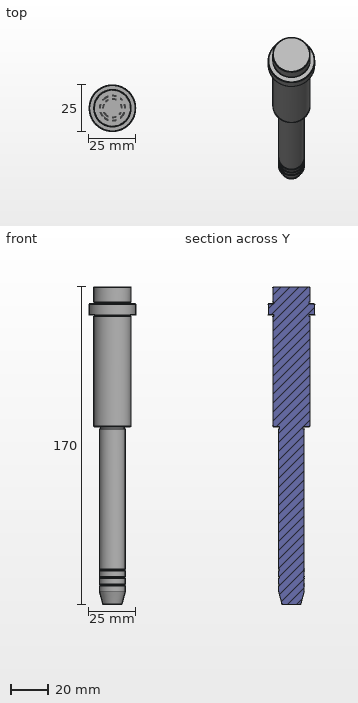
import cadquery as cq
import math

total_length = 170.0
collar_diameter = 25.0
body_diameter = 20.0
shank_diameter = 14.0

collar_top = total_length - 9.0
collar_height = 6.0
body_bottom = 95.0
taper_length = 7.0
taper_angle = 15.0

relief_width = 1.0
relief_depth = 0.5
collar_run_out = relief_depth
edge_chamfer = 0.5
collar_chamfer = 0.3
top_chamfer = 0.3
tip_chamfer = 0.3

ring_groove_count = 3
lowest_ring_groove = 10.4
ring_groove_pitch = 4.0
ring_groove_width = 1.0
ring_groove_depth = 0.3

collar_bottom = collar_top - collar_height
tip_diameter = shank_diameter - 2 * taper_length * math.tan(math.radians(taper_angle))


def cylinder(diameter, bottom, top):
    return cq.Workplane("XY").workplane(offset=bottom).circle(diameter / 2).extrude(top - bottom)


def groove_cutter(diameter, depth, bottom, width):
    """Ring that cuts a V groove into a shaft of the given diameter."""
    radius = diameter / 2
    return (
        cq.Workplane("XZ")
        .moveTo(radius, bottom)
        .lineTo(radius - depth, bottom + width / 2)
        .lineTo(radius, bottom + width)
        .lineTo(radius + depth, bottom + width)
        .lineTo(radius + depth, bottom)
        .close()
        .revolve(360, (0, 0, 0), (0, 1, 0))
    )


def relief_cutter(diameter, shoulder, direction, run_out):
    """Ring that necks a shaft beside a shoulder, ending in a conical run-out (length 0 for a square end)."""
    radius = diameter / 2
    neck_radius = radius - relief_depth
    neck_end = shoulder + direction * (relief_width - run_out)
    relief_end = shoulder + direction * relief_width
    return (
        cq.Workplane("XZ")
        .moveTo(radius, shoulder)
        .lineTo(neck_radius, shoulder)
        .lineTo(neck_radius, neck_end)
        .lineTo(radius, relief_end)
        .close()
        .revolve(360, (0, 0, 0), (0, 1, 0))
    )


tip = (
    cq.Workplane("XY")
    .circle(tip_diameter / 2)
    .workplane(offset=taper_length)
    .circle(shank_diameter / 2)
    .loft()
    .faces("<Z")
    .chamfer(tip_chamfer)
)
shank = tip.union(cylinder(shank_diameter, taper_length, body_bottom))

shank = shank.cut(relief_cutter(shank_diameter, body_bottom, -1, 0))
for index in range(ring_groove_count):
    groove_bottom = lowest_ring_groove + index * ring_groove_pitch - ring_groove_width / 2
    shank = shank.cut(groove_cutter(shank_diameter, ring_groove_depth, groove_bottom, ring_groove_width))

body = cylinder(body_diameter, body_bottom, total_length)
body = body.faces("<Z").chamfer(edge_chamfer).faces(">Z").chamfer(top_chamfer)
for shoulder, direction in ((collar_bottom, -1), (collar_top, 1)):
    body = body.cut(relief_cutter(body_diameter, shoulder, direction, collar_run_out))

collar = cylinder(collar_diameter, collar_bottom, collar_top).faces(">Z").chamfer(collar_chamfer)

result = shank.union(body).union(collar)